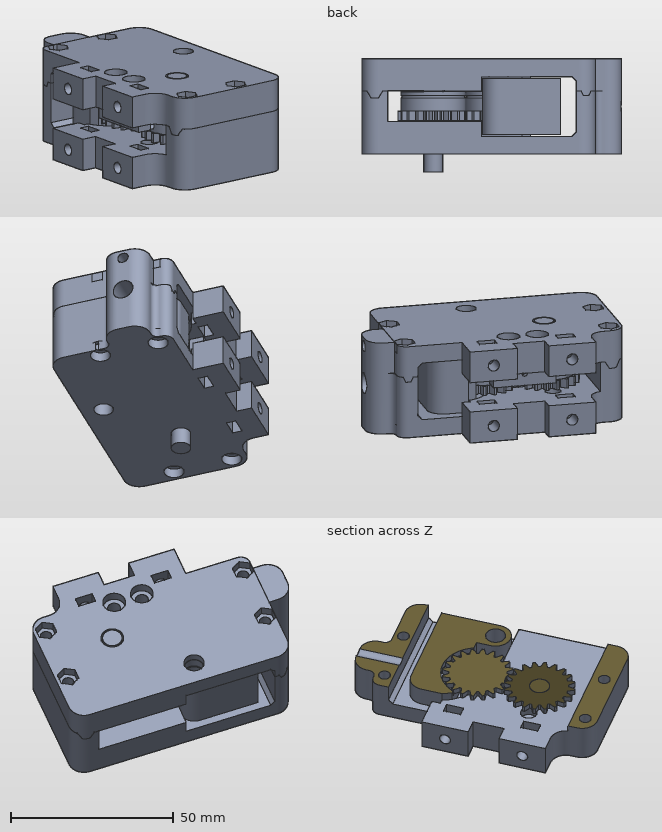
import cadquery as cq
import math


HOUSING_X = 72.0
HOUSING_Y = 40.0
HOUSING_Z = 29.45
CORNER_R = 10.0 / 2
FRONT_LEFT_R = 6.0 / 2
PARTING_Z = 19.5

LUG_X0 = 20.0
LUG_X1 = 60.0
LUG_Y = 10.0
LUG_MID_X = (LUG_X0 + LUG_X1) / 2
LUG_ROOT_R = 10.0 / 2
NOTCH_X = 10.0
NOTCH_DEPTH_LOWER = 4.9
NOTCH_DEPTH_UPPER = 5.05
NUT_SLOT_X = 5.5
NUT_SLOT_Y = 3.05
BOLT_SPACING = 25.0
BOLT_D = 3.5
BOLT_INSET_Z = (HOUSING_Z - PARTING_Z) / 2

GAP_X0 = 6.0
GAP_X1 = 64.0
GAP_Z0 = 10.1
BAY_Z0 = 5.5
BAY_Z1 = 23.85
BAY_CHAMFER = 1.4
BAY_FRONT_X = 22.7
BAY_FRONT_Y = 1.5
BAY_BEND_MID = (25.8, 2.9)
BAY_BEND_END = (28.3, 5.2)
BAY_X1 = 35.2
BAY_SLOPE_Y = 12.8

LEFT_RIB = (3.0, 3.05, 1.6, 1.5)
RIGHT_RIB = (68.0, 5.0, 2.25, 2.25)

SCREW_XS = (3.05, 68.0)
SCREW_YS = (5.05, 24.0)
SCREW_D = 3.5
SCREW_HEAD_D = 6.2
SCREW_HEAD_DEPTH = 3.2
HEX_FLATS = 5.8
HEX_DEPTH = 3.0

HANDLE_X = 8.0
HANDLE_Y0 = 5.5
HANDLE_Y1 = 19.5
HANDLE_R = 10.0 / 2
HANDLE_ROOT_R = 2.0
HANDLE_MID_Y = (HANDLE_Y0 + HANDLE_Y1) / 2
SPRING_HOLE_D = 6.4
LOCK_Z = 26.7
LOCK_HOLE_D = 3.4
LOCK_PILOT_D = 2.5
LOCK_PILOT_DEPTH = 8.0

ROLLER_Y = 15.05
DRIVE_X = 50.0
IDLER_X = 30.0
ROLLER_D = 20.0
ROLLER_Z0 = 10.3
ROLLER_Z1 = 19.3
GEAR_Z1 = 13.3
TEETH = 20
TIP_D = 22.0
PITCH_D = 20.0
ROOT_D = 18.0
TIP_HALF_ANGLE = 2.0
ROOT_HALF_ANGLE = 7.0
GROOVE_D = 0.7
SET_SCREW_D = 2.5
SET_SCREW_Z = 15.4
SHAFT_D = 6.0
SHAFT_BELOW = 5.5
SHAFT_CLEARANCE_D = 7.0

GUIDE_Y0 = 0.2
GUIDE_Y1 = 4.8
GUIDE_Z0 = 13.9
WIRE_Z = 17.7
WIRE_ENTRY_D = 1.6
WIRE_ENTRY_DEPTH = 2.0
WIRE_D = 0.6
GUIDE_SCREW_SPACING = 9.1
GUIDE_SCREW_Y = (GUIDE_Y0 + GUIDE_Y1) / 2
GUIDE_SCREW_D = 2.5
GUIDE_CLEARANCE_D = 4.0
GUIDE_HEAD_D = 7.0
GUIDE_HEAD_DEPTH = 3.1

RECESS_X = 50.0
RECESS_Y = 4.2
RECESS_D = 5.0
RECESS_DEPTH = 2.9

ARM_X0 = 10.8
ARM_X1 = 25.45
ARM_Y0 = 2.25
ARM_NOSE_X = 22.65
ARM_NOSE_Y = 3.5
ARM_R = 5.1
ARM_Z0 = 6.0
ARM_Z1 = 23.4
ARM_GEAR_CLEARANCE_D = 22.7
PIVOT_X = 29.9
PIVOT_Y = 33.0
PIVOT_D = 6.0
PIVOT_BOSS_R = 5.0
PIVOT_ENTRY_D = 6.2
PIVOT_ENTRY_DEPTH = 2.5


def box(x0, x1, y0, y1, z0, z1):
    return cq.Workplane("XY").box(x1 - x0, y1 - y0, z1 - z0, centered=False).translate((x0, y0, z0))


def hole_z(x, y, diameter, z0, z1):
    return cq.Workplane("XY", origin=(x, y, z0)).circle(diameter / 2).extrude(z1 - z0)


def hole_x(y, z, diameter, x0, x1):
    return cq.Workplane("YZ", origin=(x0, y, z)).circle(diameter / 2).extrude(x1 - x0)


def hole_y(x, z, diameter, y0, y1):
    return cq.Workplane("XZ", origin=(x, y0, z)).circle(diameter / 2).extrude(y0 - y1)


def polar(radius, degrees):
    angle = math.radians(degrees)
    return (radius * math.cos(angle), radius * math.sin(angle))


def housing_block():
    outline = (
        cq.Workplane("XY")
        .moveTo(FRONT_LEFT_R, 0)
        .lineTo(LUG_X0, 0)
        .lineTo(LUG_X0, -LUG_Y)
        .lineTo(LUG_X1, -LUG_Y)
        .lineTo(LUG_X1, -LUG_ROOT_R)
        .tangentArcPoint((LUG_X1 + LUG_ROOT_R, 0), relative=False)
        .lineTo(HOUSING_X - CORNER_R, 0)
        .tangentArcPoint((HOUSING_X, CORNER_R), relative=False)
        .lineTo(HOUSING_X, HOUSING_Y - CORNER_R)
        .tangentArcPoint((HOUSING_X - CORNER_R, HOUSING_Y), relative=False)
        .lineTo(CORNER_R, HOUSING_Y)
        .tangentArcPoint((0, HOUSING_Y - CORNER_R), relative=False)
        .lineTo(0, FRONT_LEFT_R)
        .tangentArcPoint((FRONT_LEFT_R, 0), relative=False)
        .close()
    )
    block = outline.extrude(HOUSING_Z)
    block = block.cut(box(GAP_X0, GAP_X1, -LUG_Y, HOUSING_Y, GAP_Z0, PARTING_Z))
    block = block.cut(arm_bay())
    for x in SCREW_XS:
        for y in SCREW_YS:
            block = block.cut(housing_screw(x, y))
    for side in (-1, 1):
        block = block.cut(lug_bolts(LUG_MID_X + side * BOLT_SPACING / 2))
    return block.cut(hole_z(PIVOT_X, PIVOT_Y, PIVOT_D, 0, HOUSING_Z))


def arm_bay():
    """Bay for the idler arm, open at the front and the back of the housing."""
    plan = (
        cq.Workplane("XY", origin=(0, 0, BAY_Z0))
        .moveTo(GAP_X0, 0)
        .lineTo(BAY_FRONT_X, 0)
        .lineTo(BAY_FRONT_X, BAY_FRONT_Y)
        .threePointArc(BAY_BEND_MID, BAY_BEND_END)
        .lineTo(BAY_X1, BAY_SLOPE_Y)
        .lineTo(BAY_X1, HOUSING_Y)
        .lineTo(GAP_X0, HOUSING_Y)
        .close()
    )
    return plan.extrude(BAY_Z1 - BAY_Z0).edges("|Y and <X").chamfer(BAY_CHAMFER)


def lug_bolts(x):
    """Nut slot through both lugs and the bolt holes that enter it from the front."""
    cutter = box(x - NUT_SLOT_X / 2, x + NUT_SLOT_X / 2, -NUT_SLOT_Y, 0, 0, HOUSING_Z)
    for z in (BOLT_INSET_Z, HOUSING_Z - BOLT_INSET_Z):
        cutter = cutter.union(hole_y(x, z, BOLT_D, -LUG_Y, -NUT_SLOT_Y))
    return cutter


def housing_screw(x, y):
    """Through hole with a round head seat below and a hexagonal nut seat above."""
    nut_seat = (
        cq.Workplane("XY")
        .polygon(6, HEX_FLATS, circumscribed=True)
        .extrude(HEX_DEPTH)
        .translate((x, y, HOUSING_Z - HEX_DEPTH))
    )
    shank = hole_z(x, y, SCREW_D, 0, HOUSING_Z)
    return shank.union(hole_z(x, y, SCREW_HEAD_D, 0, SCREW_HEAD_DEPTH)).union(nut_seat)


def upper_region():
    """Everything above the parting surface, with the two ribs that reach down along Y."""
    region = box(-HANDLE_X, HOUSING_X, -LUG_Y, HOUSING_Y, PARTING_Z, HOUSING_Z)
    for centre, top_width, tip_width, height in (LEFT_RIB, RIGHT_RIB):
        rib = (
            cq.Workplane("XZ", origin=(centre, HOUSING_Y, PARTING_Z))
            .polyline([
                (-top_width / 2, 0),
                (-tip_width / 2, -height),
                (tip_width / 2, -height),
                (top_width / 2, 0),
            ])
            .close()
            .extrude(HOUSING_Y)
        )
        region = region.union(rib)
    return region


def notch(depth):
    return box(LUG_MID_X - NOTCH_X / 2, LUG_MID_X + NOTCH_X / 2, -LUG_Y, depth - LUG_Y, 0, HOUSING_Z)


def handle():
    """Full-height handle, flared by round fillets where it meets the lower housing."""
    arc_inset = HANDLE_ROOT_R * (1 - math.sqrt(0.5))
    pad = box(-HANDLE_X, 0, HANDLE_Y0, HANDLE_Y1, 0, HOUSING_Z).edges("|Z and <X").fillet(HANDLE_R)
    for y, out in ((HANDLE_Y0, -1), (HANDLE_Y1, 1)):
        flare = (
            cq.Workplane("XY")
            .moveTo(0, y)
            .lineTo(-HANDLE_ROOT_R, y)
            .threePointArc((-arc_inset, y + out * arc_inset), (0, y + out * HANDLE_ROOT_R))
            .close()
            .extrude(PARTING_Z)
        )
        pad = pad.union(flare)
    return pad.cut(hole_x(HANDLE_MID_Y, LOCK_Z, LOCK_HOLE_D, -HANDLE_X, 0))


def make_lower_housing(block):
    body = block.cut(upper_region()).union(handle())
    body = body.cut(notch(NOTCH_DEPTH_LOWER))
    body = body.cut(hole_x(HANDLE_MID_Y, HOUSING_Z / 2, SPRING_HOLE_D, -HANDLE_X, GAP_X0))
    body = body.cut(hole_z(DRIVE_X, ROLLER_Y, SHAFT_D, 0, GAP_Z0))
    return body.cut(hole_z(RECESS_X, RECESS_Y, RECESS_D, GAP_Z0 - RECESS_DEPTH, GAP_Z0))


def guide_screw_xs():
    return [LUG_MID_X + side * GUIDE_SCREW_SPACING / 2 for side in (-1, 1)]


def make_upper_housing(block):
    body = block.intersect(upper_region()).cut(notch(NOTCH_DEPTH_UPPER))
    body = body.cut(hole_z(DRIVE_X, ROLLER_Y, SHAFT_CLEARANCE_D, PARTING_Z, HOUSING_Z))
    body = body.cut(hole_z(PIVOT_X, PIVOT_Y, PIVOT_ENTRY_D, HOUSING_Z - PIVOT_ENTRY_DEPTH, HOUSING_Z))
    body = body.cut(hole_x(HANDLE_MID_Y, LOCK_Z, LOCK_PILOT_D, 0, LOCK_PILOT_DEPTH))
    for x in guide_screw_xs():
        body = body.cut(hole_z(x, GUIDE_SCREW_Y, GUIDE_CLEARANCE_D, PARTING_Z, HOUSING_Z))
        body = body.cut(hole_z(x, GUIDE_SCREW_Y, GUIDE_HEAD_D, HOUSING_Z - GUIDE_HEAD_DEPTH, HOUSING_Z))
    return body


def gear_outline():
    """Closed gear outline about the origin, with a tooth gap centred on each axis."""
    pitch_angle = 360 / TEETH
    outline = cq.Workplane("XY").moveTo(*polar(ROOT_D / 2, pitch_angle / 2 - ROOT_HALF_ANGLE))
    for tooth in range(TEETH):
        centre = (tooth + 0.5) * pitch_angle
        next_root = centre + pitch_angle - ROOT_HALF_ANGLE
        outline = (
            outline
            .threePointArc(
                polar(PITCH_D / 2, centre - pitch_angle / 4),
                polar(TIP_D / 2, centre - TIP_HALF_ANGLE),
            )
            .threePointArc(polar(TIP_D / 2, centre), polar(TIP_D / 2, centre + TIP_HALF_ANGLE))
            .threePointArc(
                polar(PITCH_D / 2, centre + pitch_angle / 4),
                polar(ROOT_D / 2, centre + ROOT_HALF_ANGLE),
            )
            .threePointArc(polar(ROOT_D / 2, centre + pitch_angle / 2), polar(ROOT_D / 2, next_root))
        )
    return outline.close()


def make_roller(x):
    """Gear with a plain roller above it; a round groove in the roller carries the wire."""
    gear = gear_outline().extrude(GEAR_Z1 - ROLLER_Z0).translate((x, ROLLER_Y, ROLLER_Z0))
    roller = gear.union(hole_z(x, ROLLER_Y, ROLLER_D, GEAR_Z1, ROLLER_Z1))
    axis = cq.Vector(x, ROLLER_Y, WIRE_Z)
    groove = cq.Solid.makeTorus(ROLLER_D / 2, GROOVE_D / 2, axis, cq.Vector(0, 0, 1))
    return roller.cut(cq.Workplane(groove))


def make_drive_roller():
    roller = make_roller(DRIVE_X)
    roller = roller.cut(hole_z(DRIVE_X, ROLLER_Y, SHAFT_D, ROLLER_Z0, ROLLER_Z1))
    return roller.cut(hole_y(DRIVE_X, SET_SCREW_Z, SET_SCREW_D, ROLLER_Y - ROLLER_D / 2, ROLLER_Y))


def make_idler_roller():
    """Idler whose teeth are relieved where the tips of the drive gear pass."""
    return make_roller(IDLER_X).cut(hole_z(DRIVE_X, ROLLER_Y, TIP_D, ROLLER_Z0, GEAR_Z1))


def make_shaft():
    return hole_z(DRIVE_X, ROLLER_Y, SHAFT_D, -SHAFT_BELOW, HOUSING_Z)


def make_wire_guide():
    guide = box(IDLER_X, DRIVE_X, GUIDE_Y0, GUIDE_Y1, GUIDE_Z0, PARTING_Z)
    guide = guide.cut(hole_y(LUG_MID_X, WIRE_Z, WIRE_D, GUIDE_Y0, GUIDE_Y1))
    guide = guide.cut(hole_y(LUG_MID_X, WIRE_Z, WIRE_ENTRY_D, GUIDE_Y0, GUIDE_Y0 + WIRE_ENTRY_DEPTH))
    for x in guide_screw_xs():
        guide = guide.cut(hole_z(x, GUIDE_SCREW_Y, GUIDE_SCREW_D, GUIDE_Z0, PARTING_Z))
    return guide


def make_idler_arm():
    plan = (
        cq.Workplane("XY", origin=(0, 0, ARM_Z0))
        .moveTo(ARM_X0 + ARM_R, ARM_Y0)
        .lineTo(ARM_NOSE_X, ARM_Y0)
        .lineTo(ARM_X1, ARM_NOSE_Y)
        .lineTo(ARM_X1, PIVOT_Y - PIVOT_BOSS_R)
        .lineTo(PIVOT_X, PIVOT_Y - PIVOT_BOSS_R)
        .tangentArcPoint((PIVOT_X, PIVOT_Y + PIVOT_BOSS_R), relative=False)
        .lineTo(ARM_X0, PIVOT_Y + PIVOT_BOSS_R)
        .lineTo(ARM_X0, ARM_Y0 + ARM_R)
        .tangentArcPoint((ARM_X0 + ARM_R, ARM_Y0), relative=False)
        .close()
    )
    arm = plan.extrude(ARM_Z1 - ARM_Z0)
    arm = arm.cut(hole_z(IDLER_X, ROLLER_Y, ARM_GEAR_CLEARANCE_D, GAP_Z0, PARTING_Z))
    return arm.cut(hole_z(PIVOT_X, PIVOT_Y, PIVOT_D, ARM_Z0, ARM_Z1))


block = housing_block()
lower_housing = make_lower_housing(block)
upper_housing = make_upper_housing(block)
drive_roller = make_drive_roller()
idler_roller = make_idler_roller()
shaft = make_shaft()
wire_guide = make_wire_guide()
idler_arm = make_idler_arm()

result = cq.Compound.makeCompound([
    lower_housing.val(),
    upper_housing.val(),
    drive_roller.val(),
    idler_roller.val(),
    shaft.val(),
    wire_guide.val(),
    idler_arm.val(),
])